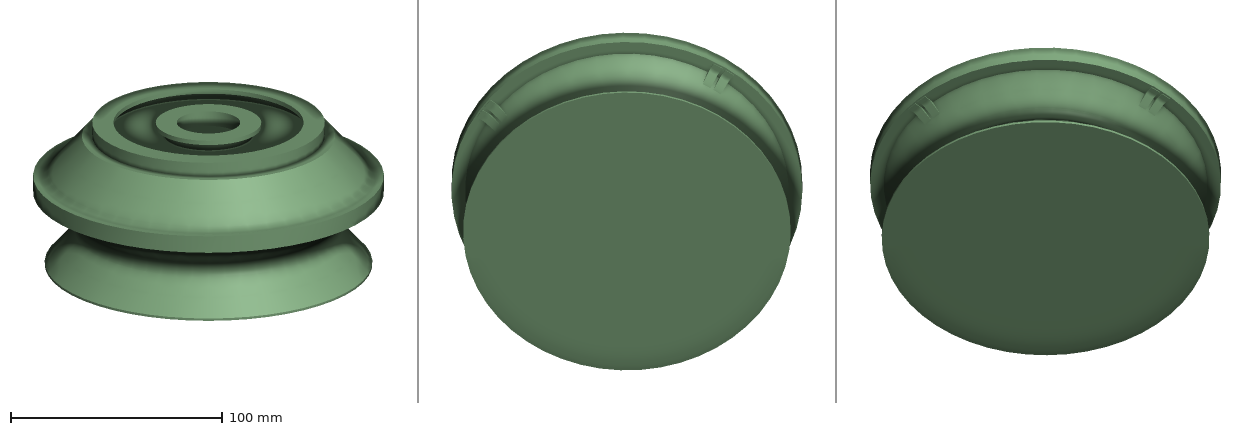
import cadquery as cq
import math

total_height = 71.4
shoulder_z = 64.5
flange_top_z = 44.7
flange_bottom_z = 36.4
neck_z = 20.6
rim_height = 1.2

flange_radius = 83.0
top_disc_radius = 110.0 / 2
shoulder_radius = 60.0
upper_cone_base_radius = 77.5
lower_cone_top_radius = 76.5
neck_sharp_radius = 59.8
rim_radius = 155.0 / 2

flange_corner_rounding = 6.0
neck_rounding = 5.0

recess_radius = 90.0 / 2
stud_radius = 50.0 / 2
stud_hole_radius = 30.0 / 2
stud_hole_depth = 7.3
recess_depth = 6.6
lip_thickness = 2.2
lip_ledge_width = 1.7
undercut_height = 4.2
undercut_angle = 30
foot_width = 0.7

pad_count = 4
pad_angle = 8.2
pad_gap = 1.7
pad_outer_radius = 82.0
pad_step = 0.3
pad_knee_radius = 78.5
pad_knee_rounding = 3.3
pad_foot_radius = 71.7
pad_foot_z = 31.9
pad_root_radius = 68.0


def rounded_corner(before, corner, after, radius):
    """Start, middle and end points of the arc that rounds a corner tangentially."""
    corner = cq.Vector(*corner)
    to_before = (cq.Vector(*before) - corner).normalized()
    to_after = (cq.Vector(*after) - corner).normalized()
    half_angle = to_before.getAngle(to_after) / 2
    tangent_length = radius / math.tan(half_angle)
    middle_distance = radius / math.sin(half_angle) - radius
    bisector = (to_before + to_after).normalized()
    start = corner + to_before * tangent_length
    middle = corner + bisector * middle_distance
    end = corner + to_after * tangent_length
    return [(point.x, point.y) for point in (start, middle, end)]


def make_body():
    """Solid of revolution: rim, lower cone, neck, flange, upper cone and top disc."""
    rim_top = (rim_radius, rim_height)
    neck = (neck_sharp_radius, neck_z)
    flange_underside = (lower_cone_top_radius, flange_bottom_z)
    flange_edge = (flange_radius, flange_top_z)
    cone_base = (upper_cone_base_radius, flange_top_z)
    shoulder = (shoulder_radius, shoulder_z)

    neck_start, neck_middle, neck_end = rounded_corner(rim_top, neck, flange_underside, neck_rounding)
    base_start, base_middle, base_end = rounded_corner(
        flange_edge, cone_base, shoulder, flange_corner_rounding
    )
    profile = (
        cq.Workplane("XZ")
        .moveTo(0, 0)
        .lineTo(rim_radius, 0)
        .lineTo(*rim_top)
        .lineTo(*neck_start)
        .threePointArc(neck_middle, neck_end)
        .lineTo(*flange_underside)
        .lineTo(flange_radius, flange_bottom_z)
        .lineTo(*flange_edge)
        .lineTo(*base_start)
        .threePointArc(base_middle, base_end)
        .lineTo(*shoulder)
        .lineTo(top_disc_radius, shoulder_z)
        .lineTo(top_disc_radius, total_height)
        .lineTo(0, total_height)
        .close()
    )
    return profile.revolve(360, (0, 0), (0, 1))


def make_recess():
    """Ring-shaped recess; each wall steps back under its lip, leans away and ends in a bevelled foot."""
    lip_z = total_height - lip_thickness
    foot_z = lip_z - undercut_height
    floor_z = total_height - recess_depth
    lean_width = undercut_height * math.tan(math.radians(undercut_angle))
    foot_setback = lip_ledge_width + lean_width
    wall = [
        (0, total_height),
        (0, lip_z),
        (lip_ledge_width, lip_z),
        (foot_setback, foot_z),
        (foot_setback - foot_width, floor_z),
    ]
    stud_side = [(stud_radius - setback, z) for setback, z in wall]
    rim_side = [(recess_radius + setback, z) for setback, z in reversed(wall)]
    section = stud_side + rim_side
    return cq.Workplane("XZ").polyline(section).close().revolve(360, (0, 0), (0, 1))


def make_stud_hole():
    """Blind hole in the middle of the stud."""
    return cq.Workplane("XY", origin=(0, 0, total_height)).circle(stud_hole_radius).extrude(-stud_hole_depth)


def make_pad():
    """Wedge pad under the flange on the +X side, split by a narrow radial gap."""
    mid_flange_z = (flange_top_z + flange_bottom_z) / 2
    pad_bottom_z = flange_bottom_z - pad_step
    outer_corner = (pad_outer_radius, pad_bottom_z)
    foot = (pad_foot_radius, pad_foot_z)
    knee = (pad_knee_radius, pad_bottom_z)
    knee_start, knee_middle, knee_end = rounded_corner(outer_corner, knee, foot, pad_knee_rounding)
    wedge = (
        cq.Workplane("XZ")
        .moveTo(pad_root_radius, mid_flange_z)
        .lineTo(pad_outer_radius, mid_flange_z)
        .lineTo(*outer_corner)
        .lineTo(*knee_start)
        .threePointArc(knee_middle, knee_end)
        .lineTo(*foot)
        .lineTo(pad_root_radius, pad_foot_z)
        .close()
        .revolve(pad_angle, (0, 0), (0, 1))
        .rotate((0, 0, 0), (0, 0, 1), -pad_angle / 2)
    )
    gap = cq.Workplane("XY").box(2 * flange_radius, pad_gap, 2 * total_height)
    return wedge.cut(gap)


result = make_body().cut(make_recess()).cut(make_stud_hole())
pad = make_pad()
for index in range(pad_count):
    result = result.union(pad.rotate((0, 0, 0), (0, 0, 1), index * 360 / pad_count))